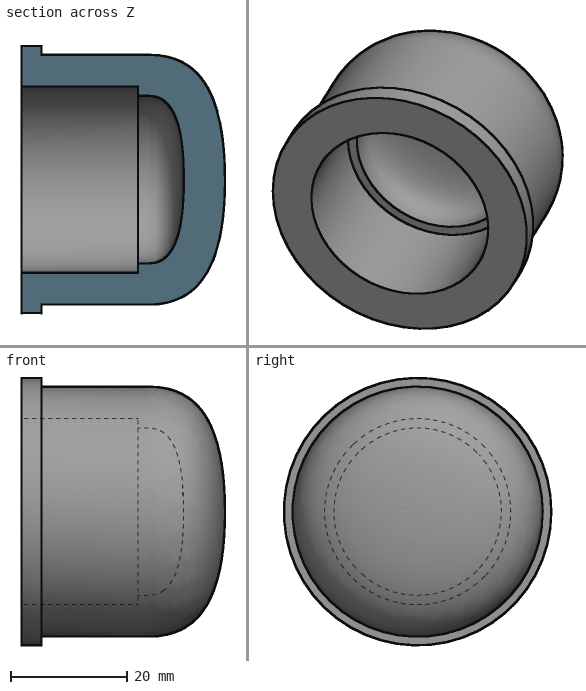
import cadquery as cq

total_length = 35.0
flange_radius = 46 / 2
flange_thickness = 3.5
body_radius = 43.0 / 2
dome_start = 21.85
dome_height = total_length - dome_start

bore_radius = 32.0 / 2
bore_depth = 20.0
cavity_radius = 28.8 / 2
wall_thickness = body_radius - cavity_radius
cavity_height = dome_height - wall_thickness

shoulder_fullness = 0.66
crown_fullness = 0.7


def dome(radius, height, base_x):
    """Solid flattened dome bulging toward +X from a disc at base_x."""
    profile = (
        cq.Workplane("XY")
        .moveTo(base_x, 0)
        .lineTo(base_x, radius)
        .bezier(
            [
                (base_x, radius),
                (base_x + shoulder_fullness * height, radius),
                (base_x + height, crown_fullness * radius),
                (base_x + height, 0),
            ]
        )
        .close()
    )
    return profile.revolve(360, (0, 0, 0), (1, 0, 0))


def cylinder(radius, length):
    """Cylinder along +X from the open end."""
    return cq.Workplane("YZ").circle(radius).extrude(length)


outside = (
    cylinder(flange_radius, flange_thickness)
    .union(cylinder(body_radius, dome_start))
    .union(dome(body_radius, dome_height, dome_start))
)
inside = (
    cylinder(bore_radius, bore_depth)
    .union(cylinder(cavity_radius, dome_start))
    .union(dome(cavity_radius, cavity_height, dome_start))
)
result = outside.cut(inside)